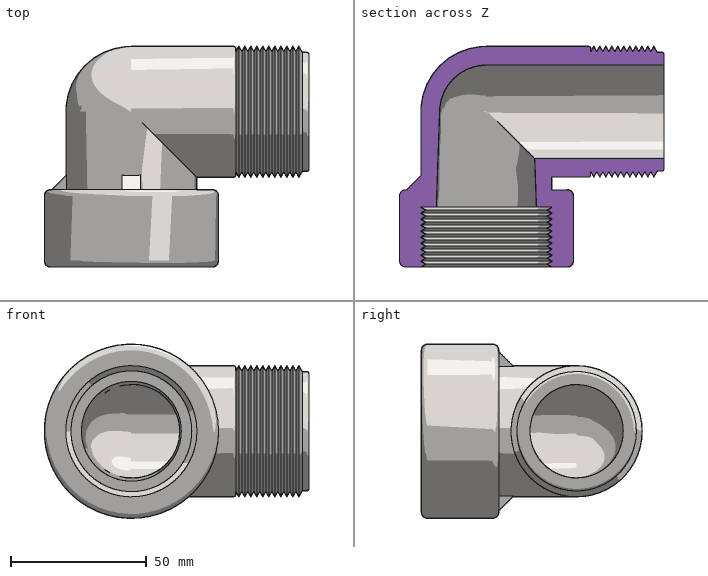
import cadquery as cq
import math


BODY_RADIUS = 24.13
WATERWAY_RADIUS = 17.145
SOCKET_WATERWAY_DRAFT = 2.0

PITCH = 25.4 / 11.5
FLANK_SLOPE = math.tan(math.radians(30.0))
THREAD_DEPTH = PITCH / 2 / FLANK_SLOPE
THREAD_MAJOR_RADIUS = BODY_RADIUS
THREAD_MINOR_RADIUS = THREAD_MAJOR_RADIUS - THREAD_DEPTH

MALE_END = 65.405
MALE_THREAD_START = 38.42
MALE_CREST_COUNT = 11
PILOT_RADIUS = 21.97
PILOT_END_FILLET = 1.0
SHANK_END_FILLET = 0.9

COLLAR_RADIUS = 32.08
SOCKET_FACE = -57.15
COLLAR_BACK = SOCKET_FACE / 2
COLLAR_FILLET = 2.38
SOCKET_THREAD_COUNT = 10
SOCKET_FLOOR = SOCKET_FACE + SOCKET_THREAD_COUNT * PITCH

RIB_WIDTH = 6.86
RIB_HEIGHT = 5.08
RIB_ROTATIONS = (0, 90, 180)


def make_male_leg():
    """Shank, V threads and plain pilot, revolved about the X axis."""
    shank_fillet_start = MALE_THREAD_START - SHANK_END_FILLET
    shank_fillet_mid = SHANK_END_FILLET * math.sqrt(0.5)
    profile = (
        cq.Workplane("XY")
        .moveTo(0, 0)
        .lineTo(0, BODY_RADIUS)
        .lineTo(shank_fillet_start, BODY_RADIUS)
        .threePointArc(
            (
                shank_fillet_start + shank_fillet_mid,
                BODY_RADIUS - SHANK_END_FILLET + shank_fillet_mid,
            ),
            (MALE_THREAD_START, BODY_RADIUS - SHANK_END_FILLET),
        )
    )
    for tooth in range(MALE_CREST_COUNT):
        root = MALE_THREAD_START + tooth * PITCH
        profile = profile.lineTo(root, THREAD_MINOR_RADIUS)
        profile = profile.lineTo(root + PITCH / 2, THREAD_MAJOR_RADIUS)
    last_crest = MALE_THREAD_START + (MALE_CREST_COUNT - 1 / 2) * PITCH
    pilot_start = last_crest + (THREAD_MAJOR_RADIUS - PILOT_RADIUS) * FLANK_SLOPE
    profile = profile.lineTo(pilot_start, PILOT_RADIUS).lineTo(MALE_END, PILOT_RADIUS)
    leg = profile.lineTo(MALE_END, 0).close().revolve(360, (0, 0, 0), (1, 0, 0))
    return leg.faces(">X").edges().fillet(PILOT_END_FILLET)


def make_socket_leg():
    """Shank and filleted collar along -Y."""
    shank = cq.Workplane("XZ").circle(BODY_RADIUS).extrude(-SOCKET_FACE)
    collar = (
        cq.Workplane("XZ", origin=(0, COLLAR_BACK, 0))
        .circle(COLLAR_RADIUS)
        .extrude(COLLAR_BACK - SOCKET_FACE)
        .edges()
        .fillet(COLLAR_FILLET)
    )
    return shank.union(collar)


def make_rib(rotation):
    """45 degree gusset between the shank and the back of the collar."""
    buried_radius = (WATERWAY_RADIUS + BODY_RADIUS) / 2
    buried_face = COLLAR_BACK - COLLAR_FILLET
    apex = COLLAR_BACK + RIB_HEIGHT + BODY_RADIUS - buried_radius
    outer_radius = BODY_RADIUS + RIB_HEIGHT
    rib = (
        cq.Workplane("YZ", origin=(-RIB_WIDTH / 2, 0, 0))
        .polyline(
            [
                (apex, buried_radius),
                (COLLAR_BACK, outer_radius),
                (buried_face, outer_radius),
                (buried_face, buried_radius),
            ]
        )
        .close()
        .extrude(RIB_WIDTH)
    )
    return rib.rotate((0, 0, 0), (0, 1, 0), -rotation)


def make_waterway():
    """Straight bore along X, drafted bore along -Y and a spherical outer corner."""
    floor_radius = WATERWAY_RADIUS - SOCKET_FLOOR * math.tan(math.radians(SOCKET_WATERWAY_DRAFT))
    corner = cq.Workplane("XY").sphere(WATERWAY_RADIUS)
    male_bore = cq.Workplane("YZ").circle(WATERWAY_RADIUS).extrude(MALE_END)
    socket_bore = (
        cq.Workplane("XY")
        .polyline([(0, 0), (WATERWAY_RADIUS, 0), (floor_radius, SOCKET_FLOOR), (0, SOCKET_FLOOR)])
        .close()
        .revolve(360, (0, 0, 0), (0, 1, 0))
    )
    return corner.union(male_bore).union(socket_bore)


def make_socket_cavity():
    """Internally threaded socket; the first V root opens at the face, the last meets the floor."""
    profile = cq.Workplane("XY").moveTo(0, SOCKET_FACE).lineTo(THREAD_MAJOR_RADIUS, SOCKET_FACE)
    for root in range(1, SOCKET_THREAD_COUNT + 1):
        root_y = SOCKET_FACE + root * PITCH
        profile = profile.lineTo(THREAD_MINOR_RADIUS, root_y - PITCH / 2)
        profile = profile.lineTo(THREAD_MAJOR_RADIUS, root_y)
    return profile.lineTo(0, SOCKET_FLOOR).close().revolve(360, (0, 0, 0), (0, 1, 0))


body = cq.Workplane("XY").sphere(BODY_RADIUS)
body = body.union(make_male_leg()).union(make_socket_leg())
for rib_rotation in RIB_ROTATIONS:
    body = body.union(make_rib(rib_rotation))

result = body.cut(make_waterway()).cut(make_socket_cavity())